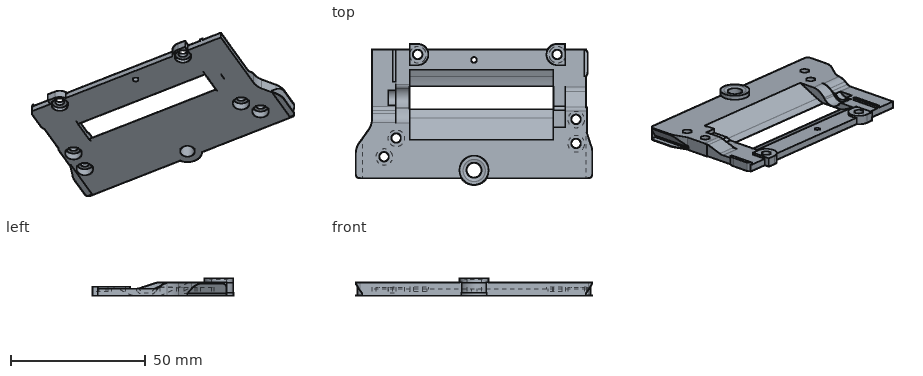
import cadquery as cq
import math


front_top = 5.0
rear_top = 2.6
raised_top = 3.4
boss_top = 6.6
above = boss_top + 0.9

half_width = 44.0
front_y = -3.0
rear_y = 45.0
beyond = half_width + 8.8
front_corner_radius = 1.5
left_side_x = -37.9
right_rear_x = 41.7
right_middle_x = 42.1
right_jog_y = 23.3

window_left = -23.9
window_right = 29.5
window_rear = 37.3
window_front = 11.3
window_radius = 17.4
window_axis_z = 16.9

strip_right = 33.9
trough_left = -29.1
axis_y = 26.9


def add_left_side(outline):
    """Continue the outline down the left side, from the rear corner to the front."""
    return (
        outline.lineTo(left_side_x, 19.3)
        .tangentArcPoint((-39.2, 15.1), relative=False)
        .lineTo(-42.7, 10.2)
        .tangentArcPoint((-half_width, 5.9), relative=False)
        .lineTo(-half_width, front_y)
    )


def frame_blank():
    """Full-height frame, before the rear is lowered."""
    outline = cq.Workplane("XY").moveTo(right_rear_x, rear_y).lineTo(left_side_x, rear_y)
    outline = add_left_side(outline)
    outline = (
        outline.lineTo(half_width, front_y)
        .lineTo(half_width, 7.0)
        .threePointArc((43.8, 8.4), (43.4, 9.6))
        .lineTo(right_middle_x, 13.7)
        .lineTo(right_middle_x, right_jog_y)
        .lineTo(right_rear_x, right_jog_y)
        .close()
    )
    blank = outline.extrude(front_top)
    return blank.edges("|Z").edges("<Y").fillet(front_corner_radius)


def across(x_start, x_end):
    """Y-Z sketch plane at x_start, and the width to extrude from it to reach x_end."""
    return cq.Workplane("YZ", origin=(x_start, 0, 0)), x_end - x_start


def ramp_cutter(x_start, x_end, foot_y, slope, foot_run, crest_run):
    """Space above the rear level and above a smooth ramp up to the front level."""
    rise = front_top - rear_top
    half_slope = math.tan(slope / 2)
    foot_rise = foot_run * half_slope
    crest_rise = crest_run * half_slope
    straight_run = (rise - foot_rise - crest_rise) / math.tan(slope)
    crest_start = foot_y - foot_run - straight_run
    crest_end = crest_start - crest_run
    plane, width = across(x_start, x_end)
    return (
        plane.moveTo(beyond, rear_top)
        .lineTo(foot_y, rear_top)
        .tangentArcPoint((foot_y - foot_run, rear_top + foot_rise), relative=False)
        .lineTo(crest_start, front_top - crest_rise)
        .tangentArcPoint((crest_end, front_top), relative=False)
        .lineTo(crest_end, above)
        .lineTo(beyond, above)
        .close()
        .extrude(width)
    )


def step_cutter():
    """Strip right of the window: a low rear floor, a short rise and a raised floor."""
    rise_start = 23.85
    rise_end = 22.3
    step_front = 15.9
    plane, width = across(window_right, strip_right)
    return (
        plane.moveTo(beyond, rear_top)
        .lineTo(rise_start, rear_top)
        .lineTo(rise_end, raised_top)
        .lineTo(step_front, raised_top)
        .lineTo(step_front, above)
        .lineTo(beyond, above)
        .close()
        .extrude(width)
    )


def rear_bar_cutter():
    """Space above the rear bar, behind the window."""
    plane, width = across(window_left, window_right)
    return (
        plane.moveTo(beyond, rear_top)
        .lineTo(axis_y, rear_top)
        .lineTo(axis_y, above)
        .lineTo(beyond, above)
        .close()
        .extrude(width)
    )


def window_tangent_point(edge_offset, edge_z):
    """Offset from the axis, and height, where a wall sloping down from its edge meets the round."""
    drop = window_axis_z - edge_z
    distance = math.hypot(edge_offset, drop)
    slope = math.asin(window_radius / distance) - math.atan2(drop, edge_offset)
    return window_radius * math.sin(slope), window_axis_z - window_radius * math.cos(slope)


def window_cutter():
    """Window with sloping front and rear walls joined by a round that breaks through below."""
    front_offset, front_z = window_tangent_point(axis_y - window_front, front_top)
    rear_offset, rear_z = window_tangent_point(window_rear - axis_y, rear_top)
    plane, width = across(window_left, window_right)
    return (
        plane.moveTo(window_rear, above)
        .lineTo(window_rear, rear_top)
        .lineTo(axis_y + rear_offset, rear_z)
        .threePointArc((axis_y, window_axis_z - window_radius), (axis_y - front_offset, front_z))
        .lineTo(window_front, front_top)
        .lineTo(window_front, above)
        .close()
        .extrude(width)
    )


def trough_cutter():
    """Round trough left of the window, blended into the levels behind and in front."""
    radius = 8.9 / 2
    slope = math.radians(52)
    rear_run = 1.6
    half_slope = math.tan(slope / 2)
    edge_z = rear_top - rear_run * half_slope
    half_chord = radius * math.sin(slope)
    rear_edge = axis_y + half_chord
    front_edge = axis_y - half_chord
    bottom_z = edge_z - radius * (1 - math.cos(slope))
    front_end = 17.6
    rise_left = front_top - edge_z - (front_edge - front_end) * half_slope
    straight_run = rise_left / (math.tan(slope) - half_slope)
    crest_start = front_edge - straight_run
    plane, width = across(trough_left, window_left)
    return (
        plane.moveTo(beyond, rear_top)
        .lineTo(rear_edge + rear_run, rear_top)
        .tangentArcPoint((rear_edge, edge_z), relative=False)
        .threePointArc((axis_y, bottom_z), (front_edge, edge_z))
        .lineTo(crest_start, edge_z + straight_run * math.tan(slope))
        .tangentArcPoint((front_end, front_top), relative=False)
        .lineTo(front_end, above)
        .lineTo(beyond, above)
        .close()
        .extrude(width)
    )


def side_groove_cutter():
    """Small round groove that continues the trough to the left."""
    groove_left = -31.9
    groove_diameter = 6.3
    groove_axis_z = 4.2
    plane, width = across(groove_left, trough_left)
    return plane.center(axis_y, groove_axis_z).circle(groove_diameter / 2).extrude(width)


def end_recess_cutter():
    """Undercut in the left end: thin floor, low wall, and a face leaning out to the top."""
    floor_z = 0.3
    wall_x = -41.6
    wall_top = 0.9
    lip_z = 4.6
    recess_front = -2.7
    recess_rear = 14.1
    return (
        cq.Workplane("XZ", origin=(0, recess_front, 0))
        .moveTo(-beyond, floor_z)
        .lineTo(wall_x, floor_z)
        .lineTo(wall_x, wall_top)
        .lineTo(-half_width, lip_z)
        .lineTo(-beyond, lip_z)
        .close()
        .extrude(recess_front - recess_rear)
    )


lug_radius = 4.0
lug_y = 43.0
left_lug_x = -20.9
right_lug_x = 30.9


def lug(centre_x, flat_x):
    """Lug on the rear bar, round towards the middle and flat on its outer side."""
    inward = math.copysign(lug_radius, centre_x - flat_x)
    return (
        cq.Workplane("XY")
        .moveTo(flat_x, lug_y - lug_radius)
        .lineTo(centre_x, lug_y - lug_radius)
        .threePointArc((centre_x + inward, lug_y), (centre_x, lug_y + lug_radius))
        .lineTo(flat_x, lug_y + lug_radius)
        .close()
        .extrude(raised_top)
    )


def rail():
    """Narrow rail on the left of the rear bar."""
    rail_width = 1.1
    rail_front = 32.9
    return (
        cq.Workplane("XY")
        .box(rail_width, rear_y - rail_front, raised_top, centered=False)
        .translate((trough_left - rail_width, rail_front, 0))
    )


def corner_tab():
    """Raised tab with rounded ends at the rear right corner."""
    tab_left = 41.0
    tab_right = 42.3
    tab_front = 34.85
    return (
        cq.Workplane("XY")
        .moveTo(tab_left, tab_front)
        .lineTo(right_rear_x, tab_front)
        .threePointArc((42.15, 35.7), (tab_right, 36.9))
        .lineTo(tab_right, 43.5)
        .threePointArc((41.9, 44.4), (tab_left, rear_y))
        .close()
        .extrude(raised_top)
    )


boss_diameter = 11.1
boss_neck_diameter = 10.9
boss_flange_diameter = 10.8
boss_foot_top = 1.1
boss_flange_bottom = 4.8
boss_bore_diameter = 5.5
boss_countersink_diameter = 8.3
boss_countersink_depth = 0.4


def boss():
    """Boss on the front bar that narrows slightly from foot to neck to flange."""
    foot = cq.Workplane("XY").circle(boss_diameter / 2).extrude(boss_foot_top)
    neck = cq.Workplane("XY").circle(boss_neck_diameter / 2).extrude(boss_flange_bottom)
    flange = cq.Workplane("XY").circle(boss_flange_diameter / 2).extrude(boss_top)
    return foot.union(neck).union(flange)


def boss_bore():
    """Through bore with a shallow countersink."""
    bore = cq.Workplane("XY").circle(boss_bore_diameter / 2).extrude(above)
    countersink = (
        cq.Workplane("XY", origin=(0, 0, boss_top))
        .circle(boss_countersink_diameter / 2)
        .workplane(offset=-boss_countersink_depth)
        .circle(boss_bore_diameter / 2)
        .loft()
    )
    return bore.union(countersink)


screw_hole_diameter = 3.4
screw_head_diameter = 6.2
screw_seat_thickness = 1.8


def vertical_cylinders(diameter, height, centres):
    """Upright cylinders standing on the underside level."""
    return cq.Workplane("XY").pushPoints(centres).circle(diameter / 2).extrude(height)


def screw_holes(centres, local_top):
    """Through holes, counterbored from below up to a seat under the local top face."""
    holes = vertical_cylinders(screw_hole_diameter, above, centres)
    seat_z = local_top - screw_seat_thickness
    return holes.union(vertical_cylinders(screw_head_diameter, seat_z, centres))


frame = frame_blank()
left_ramp = ramp_cutter(
    -beyond, trough_left, foot_y=23.85, slope=math.radians(36), foot_run=1.6, crest_run=3.3
)
right_ramp = ramp_cutter(
    strip_right, beyond, foot_y=31.0, slope=math.radians(18), foot_run=1.6, crest_run=1.6
)
frame = frame.cut(left_ramp).cut(right_ramp)
frame = frame.cut(step_cutter()).cut(rear_bar_cutter()).cut(trough_cutter())
frame = frame.cut(window_cutter()).cut(side_groove_cutter())

end_recess = end_recess_cutter()
frame = frame.cut(end_recess).cut(end_recess.mirror("YZ"))

frame = frame.union(lug(left_lug_x, window_left)).union(lug(right_lug_x, strip_right))
frame = frame.union(rail()).union(corner_tab()).union(boss())

lug_centres = [(left_lug_x, lug_y), (right_lug_x, lug_y)]
mounting_centres = [(-28.95, 12.0), (-33.4, 5.0), (37.9, 18.9), (37.9, 9.9)]
small_hole_diameter = 2.0
small_hole_centres = [(0, 41.0)]
frame = frame.cut(screw_holes(lug_centres, raised_top))
frame = frame.cut(screw_holes(mounting_centres, front_top))
frame = frame.cut(vertical_cylinders(small_hole_diameter, above, small_hole_centres))
result = frame.cut(boss_bore())